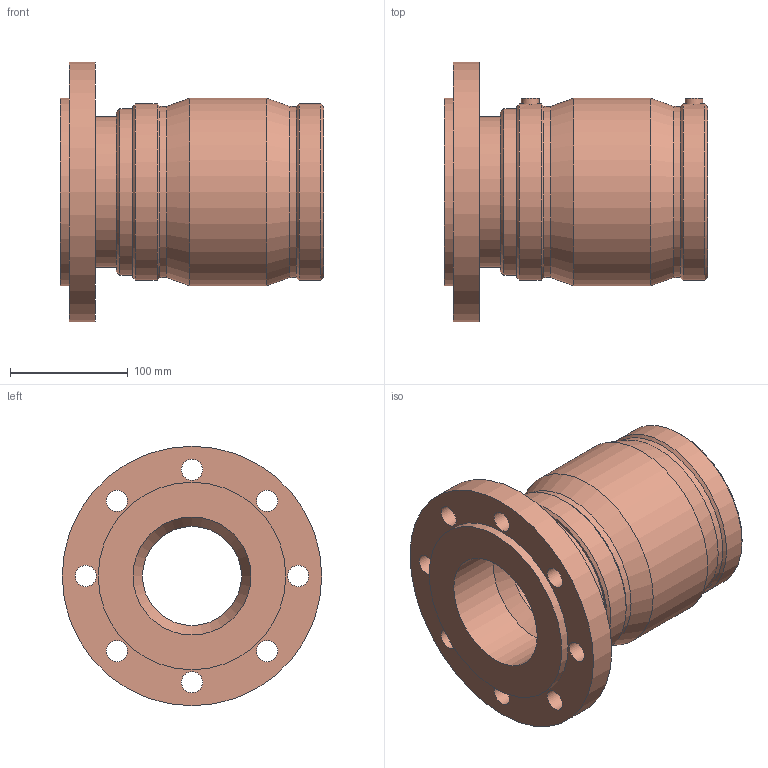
import cadquery as cq

TOTAL_LENGTH = 223.0
FLANGE_DIAMETER = 220.0
FLANGE_START = 7.5
FLANGE_END = 29.5
RAISED_FACE_DIAMETER = 159.0
BOLT_CIRCLE_DIAMETER = 180.0
BOLT_HOLE_DIAMETER = 18.0
BOLT_HOLE_COUNT = 8

NECK_DIAMETER = 127.36
COLLAR_DIAMETER = 141.51
COLLAR_START = 47.4
COLLAR_CHAMFER = 3.0

BAND_DIAMETER = 149.46
BAND_WIDTH = 23.0
FRONT_BAND_START = 61.2
FRONT_BAND_END = FRONT_BAND_START + BAND_WIDTH
REAR_BAND_START = TOTAL_LENGTH - BAND_WIDTH

SHOULDER_DIAMETER = 144.98
BODY_DIAMETER = 159.0
BAND_CHAMFER = (BAND_DIAMETER - SHOULDER_DIAMETER) / 2
FRONT_CONE_START = 90.0
FRONT_CONE_END = 109.5
REAR_CONE_START = 175.0
REAR_CONE_END = 194.5

ENTRY_DIAMETER = 100.0
ENTRY_DEPTH = COLLAR_START
PASSAGE_DIAMETER = 84.0
TAPER_END = FRONT_BAND_START

BOSS_DIAMETER = 15.0
BOSS_TOP = BODY_DIAMETER / 2
BOSS_FRONT_X = (FRONT_BAND_START + FRONT_BAND_END) / 2
BOSS_REAR_X = (REAR_BAND_START + TOTAL_LENGTH) / 2


def revolve_profile(points):
    """Turn (position along X, diameter) points about the X axis."""
    profile = [(x, diameter / 2) for x, diameter in points]
    return cq.Workplane("XY").polyline(profile).close().revolve(360, (0, 0, 0), (1, 0, 0))


def outer_body():
    return revolve_profile([
        (0, 0),
        (0, RAISED_FACE_DIAMETER),
        (FLANGE_START, RAISED_FACE_DIAMETER),
        (FLANGE_START, FLANGE_DIAMETER),
        (FLANGE_END, FLANGE_DIAMETER),
        (FLANGE_END, NECK_DIAMETER),
        (COLLAR_START, NECK_DIAMETER),
        (COLLAR_START, COLLAR_DIAMETER - 2 * COLLAR_CHAMFER),
        (COLLAR_START + COLLAR_CHAMFER, COLLAR_DIAMETER),
        (FRONT_BAND_START, COLLAR_DIAMETER),
        (FRONT_BAND_START, SHOULDER_DIAMETER),
        (FRONT_BAND_START + BAND_CHAMFER, BAND_DIAMETER),
        (FRONT_BAND_END - BAND_CHAMFER, BAND_DIAMETER),
        (FRONT_BAND_END, SHOULDER_DIAMETER),
        (FRONT_CONE_START, SHOULDER_DIAMETER),
        (FRONT_CONE_END, BODY_DIAMETER),
        (REAR_CONE_START, BODY_DIAMETER),
        (REAR_CONE_END, SHOULDER_DIAMETER),
        (REAR_BAND_START, SHOULDER_DIAMETER),
        (REAR_BAND_START + BAND_CHAMFER, BAND_DIAMETER),
        (TOTAL_LENGTH - BAND_CHAMFER, BAND_DIAMETER),
        (TOTAL_LENGTH, SHOULDER_DIAMETER),
        (TOTAL_LENGTH, 0),
    ])


def bore():
    return revolve_profile([
        (0, 0),
        (0, ENTRY_DIAMETER),
        (ENTRY_DEPTH, ENTRY_DIAMETER),
        (TAPER_END, PASSAGE_DIAMETER),
        (TOTAL_LENGTH, PASSAGE_DIAMETER),
        (TOTAL_LENGTH, 0),
    ])


def bolt_holes():
    return (
        cq.Workplane("YZ")
        .workplane(offset=FLANGE_START)
        .polarArray(BOLT_CIRCLE_DIAMETER / 2, 0, 360, BOLT_HOLE_COUNT)
        .circle(BOLT_HOLE_DIAMETER / 2)
        .extrude(FLANGE_END - FLANGE_START)
    )


def band_boss(position):
    """Radial boss rooted in the band wall and ending on the +Y side."""
    root = (PASSAGE_DIAMETER + BAND_DIAMETER) / 4
    return (
        cq.Workplane("XZ", origin=(position, root, 0))
        .circle(BOSS_DIAMETER / 2)
        .extrude(root - BOSS_TOP)
    )


result = outer_body()
for boss_x in (BOSS_FRONT_X, BOSS_REAR_X):
    result = result.union(band_boss(boss_x))
result = result.cut(bore()).cut(bolt_holes())